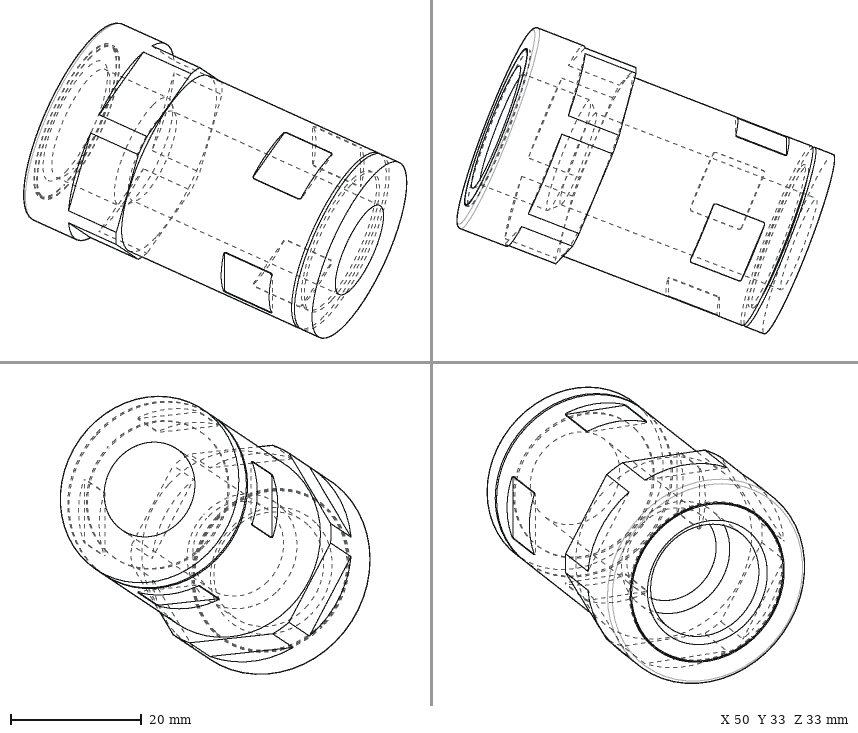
import cadquery as cq
import math

length = 50
collar_diameter = 33
collar_end = 8.1
collar_front_radius = 0.55
hex_across_flats = 30
hex_end = 16.5
body_diameter = 29.5

groove_diameter = 23.4
groove_start = 46.4
groove_width = 0.5

pocket_start = 34
pocket_length = 8.45
pocket_width = 10.1
pocket_depth = 1
pocket_corner_radius = 0.4

bore_diameter = 15
bore_mouth_diameter = 20.1
entry_bore_diameter = 18.15
bore_mouth_depth = 1
bore_shoulder_start = 12

face_groove_outer_diameter = 25.8
face_groove_inner_diameter = 25.4
face_groove_depth = 0.5


def cylinder(diameter, start, end):
    """Solid cylinder along X between two stations."""
    return cq.Workplane("YZ", origin=(start, 0, 0)).circle(diameter / 2).extrude(end - start)


def ring(outer_diameter, inner_diameter, start, end):
    """Tube along X between two stations."""
    return cylinder(outer_diameter, start, end).cut(cylinder(inner_diameter, start, end))


def make_collar():
    """Round collar with a rounded front rim."""
    return cylinder(collar_diameter, 0, collar_end).faces("<X").fillet(collar_front_radius)


def make_hexagon():
    """Hexagon with flats facing +Z and -Z, its corners turned down to the collar diameter."""
    across_corners = hex_across_flats / math.cos(math.pi / 6)
    prism = (
        cq.Workplane("YZ", origin=(collar_end, 0, 0))
        .polygon(6, across_corners)
        .extrude(hex_end - collar_end)
    )
    return prism.intersect(cylinder(collar_diameter, collar_end, hex_end))


def make_pocket(angle):
    """Cutter for one flat wrench pocket, turned about X from the top of the body."""
    floor_height = body_diameter / 2 - pocket_depth
    return (
        cq.Workplane("XY", origin=(pocket_start + pocket_length / 2, 0, floor_height))
        .rect(pocket_length, pocket_width)
        .extrude(2 * pocket_depth)
        .edges("|Z")
        .fillet(pocket_corner_radius)
        .rotate((0, 0, 0), (1, 0, 0), angle)
    )


def make_bore():
    """Through bore with a conical mouth, a wide entry and a 45 degree shoulder down to the bore."""
    bore_shoulder_end = bore_shoulder_start + (entry_bore_diameter - bore_diameter) / 2
    return (
        cq.Workplane("XY")
        .moveTo(0, 0)
        .lineTo(0, bore_mouth_diameter / 2)
        .lineTo(bore_mouth_depth, entry_bore_diameter / 2)
        .lineTo(bore_shoulder_start, entry_bore_diameter / 2)
        .lineTo(bore_shoulder_end, bore_diameter / 2)
        .lineTo(length, bore_diameter / 2)
        .lineTo(length, 0)
        .close()
        .revolve(360, (0, 0, 0), (1, 0, 0))
    )


result = cylinder(body_diameter, collar_end, length).union(make_collar()).union(make_hexagon())
result = result.cut(ring(body_diameter, groove_diameter, groove_start, groove_start + groove_width))
for pocket_angle in range(0, 360, 90):
    result = result.cut(make_pocket(pocket_angle))
result = result.cut(make_bore())
result = result.cut(ring(face_groove_outer_diameter, face_groove_inner_diameter, 0, face_groove_depth))